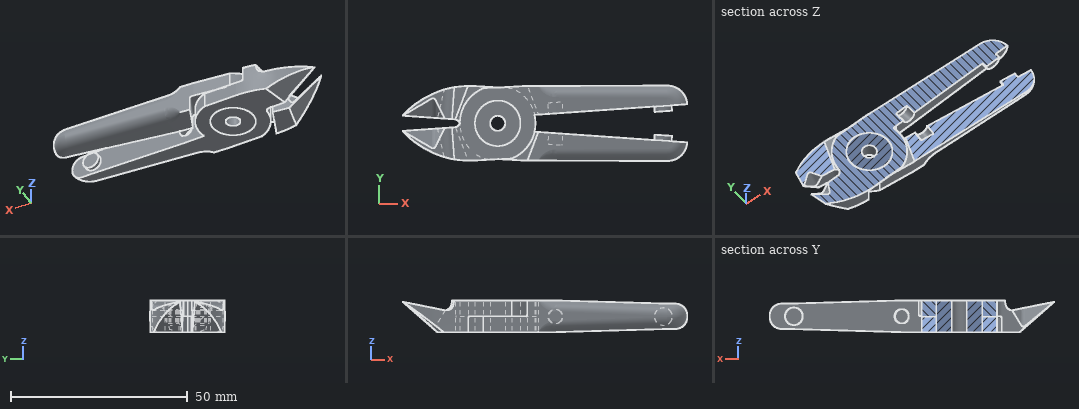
import cadquery as cq
import math

TIP_X = -26.95
END_X = 53.7
HALF_THICK = 4.5
HALF_WIDTH = 10.7
WAIST_Y = 10.6
OPEN_ANGLE = 4.0
OPEN_SLOPE = math.tan(math.radians(OPEN_ANGLE))
MARGIN = 0.8
REACH = 2 * HALF_THICK

PIN_RADIUS = 6.45
BORE_RADIUS = 2.1
HUB_RADIUS = 10.7
FLAT_END_X = 4.0
JAW_FLANK_X = -6.2
HANDLE_FLANK_X = 7.25
LAP_WALL_DISTANCE = 11.6
LAP_WALL_ANGLE = 20.8
LAP_FILLET = 0.6
HANDLE_ARC_ANGLE = 30
JAW_ARC_ANGLE = 215

JAW_GAP = 0.25
THROAT_X = -12.4
JAW_CURVE_POINTS = [(-23.7, 5.2), (-20.25, 7.4), (-16.1, 9.3), (-12.4, 10.25), (-9.3, 10.6)]
THROAT_ARC_POINT = (-11.4, 0.8)
TIP_Z = 4.1
RAMP_SLOPE = 0.21
STEP_FOOT_X = -13.55
STEP_TOP_X = -13.0
STEP_FILLET = 2.0
UNDERSIDE_INNER_X = -17.1
UNDERSIDE_OUTER_X = -15.25
UNDERSIDE_OUTER_Y = 9.5
POCKET_FLOOR_X = -18.0
POCKET_FLOOR_Z = -3.5
POCKET_FILLET = 0.9
POCKET_BACK_X = -15.0
POCKET_RISE = 0.95

HANDLE_OFFSET = 1.6
TAPER_START_X = 16.6
END_HALF_THICK = 3.6
ROUND_START_X = 11.45
ROUND_RADIUS = 3.2
END_ROUND_RADIUS = 3.5
FADE_STEPS = 4
FADE_MIN_RADIUS = 0.1
STOP_X = 46.8
STOP_RADIUS = 2.5
STOP_HEIGHT = 1.5
SPRING_HOLE_X = 16.4
SPRING_HOLE_RADIUS = 2.0
SPRING_HOLE_DEPTH = 3.2


def jaw_inner_y(x):
    return JAW_GAP - OPEN_SLOPE * x


def handle_inner_y(x):
    return -HANDLE_OFFSET - OPEN_SLOPE * x


def handle_outer_y(x):
    """The outer edge widens evenly from the head to the nose."""
    return -WAIST_Y - (HALF_WIDTH - WAIST_Y) * (x - HANDLE_FLANK_X) / (NOSE_X - HANDLE_FLANK_X)


def ramp_z(x):
    return TIP_Z - RAMP_SLOPE * (x - TIP_X)


OPEN_COS = math.cos(math.radians(OPEN_ANGLE))
NOSE_X = (END_X - (HALF_WIDTH - HANDLE_OFFSET) * OPEN_COS) / (1 - OPEN_SLOPE * OPEN_COS)
NOSE_Y = handle_inner_y(NOSE_X)
NOSE_RADIUS = HALF_WIDTH + NOSE_Y
HUB_FLAT_Y = math.sqrt(HUB_RADIUS**2 - FLAT_END_X**2)
CROTCH_X = math.sqrt(HUB_RADIUS**2 - (HANDLE_OFFSET + OPEN_SLOPE * HUB_RADIUS) ** 2)


def hub_point(angle):
    a = math.radians(angle)
    return (HUB_RADIUS * math.cos(a), HUB_RADIUS * math.sin(a))


def half_blank():
    """Full-thickness plan shape: jaw on +Y, handle on -Y."""
    nose_mid = (
        NOSE_X + NOSE_RADIUS * math.sqrt(0.5),
        NOSE_Y - NOSE_RADIUS * math.sqrt(0.5),
    )
    return (
        cq.Workplane("XY", origin=(0, 0, -HALF_THICK))
        .moveTo(TIP_X, jaw_inner_y(TIP_X))
        .spline(JAW_CURVE_POINTS + [(JAW_FLANK_X, WAIST_Y)], includeCurrent=True)
        .lineTo(FLAT_END_X, HUB_FLAT_Y)
        .threePointArc(hub_point(HANDLE_ARC_ANGLE), (CROTCH_X, handle_inner_y(CROTCH_X)))
        .lineTo(END_X, handle_inner_y(END_X))
        .threePointArc(nose_mid, (NOSE_X, -HALF_WIDTH))
        .lineTo(HANDLE_FLANK_X, -WAIST_Y)
        .lineTo(-FLAT_END_X, -HUB_FLAT_Y)
        .threePointArc(hub_point(JAW_ARC_ANGLE), (-HUB_RADIUS, 0))
        .threePointArc(THROAT_ARC_POINT, (THROAT_X, jaw_inner_y(THROAT_X)))
        .close()
        .extrude(2 * HALF_THICK)
    )


def lap_pocket(hub_side):
    """Clears the layer opposite this half's hub; hub_side is -1 (lower) or +1 (upper)."""
    floor_edges = "<Z" if hub_side < 0 else ">Z"
    pocket = (
        cq.Workplane("XY")
        .rect(2 * LAP_WALL_DISTANCE, 4 * HALF_WIDTH)
        .extrude(-hub_side * REACH)
        .edges("|Y")
        .edges(floor_edges)
        .fillet(LAP_FILLET)
    )
    return pocket.rotate((0, 0, 0), (0, 0, 1), -LAP_WALL_ANGLE)


def jaw_step():
    """Lowers the jaw to a ramp that rises toward the tip, with a rounded foot."""
    far_x = 2 * TIP_X
    step = (
        cq.Workplane("XZ", origin=(0, 2 * HALF_WIDTH, 0))
        .polyline([
            (far_x, ramp_z(far_x)),
            (STEP_FOOT_X, ramp_z(STEP_FOOT_X)),
            (STEP_TOP_X, HALF_THICK),
            (STEP_TOP_X, 2 * REACH),
            (far_x, 2 * REACH),
        ])
        .close()
        .extrude(4 * HALF_WIDTH)
        .edges("|Y")
        .edges("<Z")
        .fillet(STEP_FILLET)
    )
    return step.rotate((0, 0, 0), (0, 0, 1), -OPEN_ANGLE)


def jaw_underside():
    """Bevel under the jaw: everything below the plane through the tip and two bottom points."""
    tip = cq.Vector(TIP_X, jaw_inner_y(TIP_X), TIP_Z)
    inner = cq.Vector(UNDERSIDE_INNER_X, jaw_inner_y(UNDERSIDE_INNER_X), -HALF_THICK)
    outer = cq.Vector(UNDERSIDE_OUTER_X, UNDERSIDE_OUTER_Y, -HALF_THICK)
    down = (outer - inner).cross(tip - inner)
    down = down if down.z < 0 else down * -1
    bevel = cq.Plane(origin=tip.toTuple(), xDir=(inner - tip).toTuple(), normal=down.toTuple())
    return cq.Workplane(bevel).rect(4 * HALF_WIDTH, 4 * HALF_WIDTH).extrude(2 * HALF_WIDTH)


def jaw_pocket():
    """V-shaped relief that is deepest along the cutting edge and climbs outward to nothing."""
    back_y = jaw_inner_y(POCKET_BACK_X)
    back_z = ramp_z(POCKET_BACK_X)
    tip_z = TIP_Z - POCKET_RISE * (jaw_inner_y(TIP_X) - back_y)
    front_slope = (tip_z - POCKET_FLOOR_Z) / (POCKET_FLOOR_X - TIP_X)
    back_slope = (back_z - POCKET_FLOOR_Z) / (POCKET_BACK_X - POCKET_FLOOR_X)
    run = HALF_WIDTH

    def section(y):
        lift = POCKET_RISE * (y - back_y)
        corners = [
            (TIP_X - run, tip_z + front_slope * run),
            (POCKET_FLOOR_X, POCKET_FLOOR_Z),
            (POCKET_BACK_X + run, back_z + back_slope * run),
        ]
        return cq.Wire.makePolygon([cq.Vector(x, y, z + lift) for x, z in corners], close=True)

    vee = cq.Workplane(cq.Solid.makeLoft([section(0), section(HALF_WIDTH)], True))
    return vee.edges("<Z").fillet(POCKET_FILLET)


def handle_taper(side):
    """Thins the handle from the head to the nose on the top (+1) or bottom (-1) face."""
    return (
        cq.Workplane("XZ", origin=(0, 2 * HALF_WIDTH, 0))
        .polyline([
            (TAPER_START_X, side * HALF_THICK),
            (NOSE_X, side * END_HALF_THICK),
            (2 * END_X, side * END_HALF_THICK),
            (2 * END_X, side * REACH),
            (TAPER_START_X, side * REACH),
        ])
        .close()
        .extrude(4 * HALF_WIDTH)
    )


def corner_waste(x, half_thick, radius, side):
    """Section at x of the material outside a rounded outer corner of the handle."""
    y = handle_outer_y(x)
    z = side * half_thick
    mid = radius * (1 - math.sqrt(0.5))
    return (
        cq.Workplane("YZ", origin=(x, 0, 0))
        .moveTo(y + radius, z)
        .threePointArc((y + mid, z - side * mid), (y, z - side * radius))
        .lineTo(y - MARGIN, z - side * radius)
        .lineTo(y - MARGIN, z + side * MARGIN)
        .lineTo(y + radius, z + side * MARGIN)
        .close()
    )


def fade_radius(x):
    """Corner radius that grows along an arc from nothing to the full handle radius."""
    length = TAPER_START_X - ROUND_START_X
    arc = (length**2 + ROUND_RADIUS**2) / (2 * ROUND_RADIUS)
    return ROUND_RADIUS - arc + math.sqrt(arc**2 - (TAPER_START_X - x) ** 2)


def handle_rounding(side):
    """Waste outside the rounded outer corner: fade-in, straight handle and turned nose."""
    fade = []
    for i in range(FADE_STEPS + 1):
        x = ROUND_START_X + (TAPER_START_X - ROUND_START_X) * i / FADE_STEPS
        radius = max(FADE_MIN_RADIUS, fade_radius(x))
        fade.append(corner_waste(x, HALF_THICK, radius, side).val())
    end_section = corner_waste(NOSE_X, END_HALF_THICK, END_ROUND_RADIUS, side)
    nose = end_section.revolve(180, (NOSE_Y, 0, 0), (NOSE_Y, 1, 0))
    return [
        cq.Workplane(cq.Solid.makeLoft(fade)),
        cq.Workplane(cq.Solid.makeLoft([fade[-1], end_section.val()], True)),
        nose,
    ]


def inner_face_plane(x):
    """Plane on the handle's inner face, facing the other handle."""
    return cq.Plane(
        origin=(x, handle_inner_y(x), 0),
        xDir=(1, -OPEN_SLOPE, 0),
        normal=(OPEN_SLOPE, 1, 0),
    )


def handle_stop():
    return (
        cq.Workplane(inner_face_plane(STOP_X))
        .workplane(offset=-MARGIN)
        .circle(STOP_RADIUS)
        .extrude(STOP_HEIGHT + MARGIN)
    )


def spring_hole():
    return (
        cq.Workplane(inner_face_plane(SPRING_HOLE_X))
        .circle(SPRING_HOLE_RADIUS)
        .extrude(-SPRING_HOLE_DEPTH)
    )


def plier_half(hub_side):
    """Half with its jaw on +Y and its handle on -Y."""
    half = half_blank().cut(lap_pocket(hub_side))
    half = half.cut(jaw_step()).cut(jaw_underside()).cut(jaw_pocket())
    for side in (-1, 1):
        half = half.cut(handle_taper(side))
        for waste in handle_rounding(side):
            half = half.cut(waste)
    half = half.union(handle_stop()).cut(spring_hole())
    bore = cq.Workplane("XY").circle(PIN_RADIUS).extrude(REACH, both=True)
    return half.cut(bore).solids()


def pivot_pin():
    return (
        cq.Workplane("XY", origin=(0, 0, -HALF_THICK))
        .circle(PIN_RADIUS)
        .circle(BORE_RADIUS)
        .extrude(2 * HALF_THICK)
    )


lower_half = plier_half(-1)
upper_half = plier_half(1).mirror("XZ")
pin = pivot_pin()

result = cq.Compound.makeCompound([lower_half.val(), upper_half.val(), pin.val()])